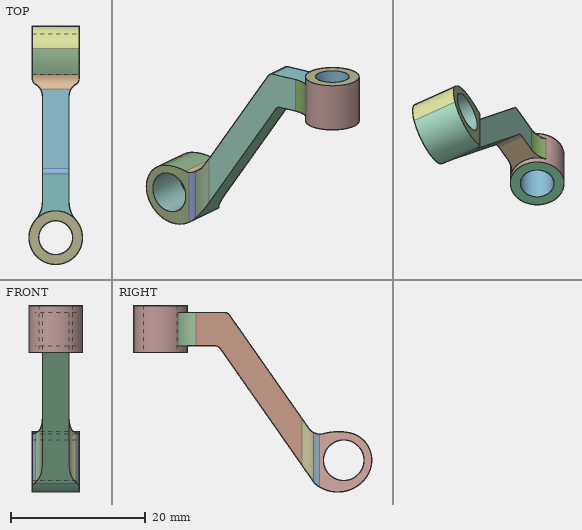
import cadquery as cq
import math

sleeve_diameter = 8.0
sleeve_bore = 5.0
sleeve_height = 7.0

arm_width = 4.0
level_thickness = 5.0
slope_thickness = 4.0
slope_angle = math.radians(55)
top_bend_y = 10.0
bend_radius = 1.0
sleeve_flare_radius = 4.0

eye_bore = 6.0
eye_width = 7.0
eye_y = 27.26
eye_z = -19.5
eye_end_radius = 4.2
eye_bottom_radius = 5.2
eye_top_radius = 8.0
bottom_join_angle = math.radians(-27)
top_join_angle = math.radians(78)
eye_crotch_radius = 2.0

eye_flare_start_y = 21.07
flare_hollow_radius = 2.0
flare_round_radius = 1.0


def polar(center, radius, angle):
    """Point at the given radius and angle around a center."""
    return (center[0] + radius * math.cos(angle), center[1] + radius * math.sin(angle))


def arc_through(sketch, center, radius, start_angle, end_angle):
    """Add an arc about center from the current point, at start_angle, to end_angle."""
    middle_angle = (start_angle + end_angle) / 2
    return sketch.threePointArc(polar(center, radius, middle_angle), polar(center, radius, end_angle))


def make_side_profile():
    """Arm and eye outline in the YZ plane, extruded to the width of the eye."""
    half_level = level_thickness / 2
    along = (math.cos(slope_angle), -math.sin(slope_angle))
    normal = (math.sin(slope_angle), math.cos(slope_angle))
    normal_angle = math.pi / 2 - slope_angle
    top_bend = (top_bend_y, half_level)
    bottom_bend_y = top_bend_y + level_thickness / math.tan(slope_angle) - slope_thickness / normal[0]
    bottom_bend = (bottom_bend_y, -half_level)

    eye_center = (eye_y, eye_z)
    top_center = polar(eye_center, eye_end_radius - eye_top_radius, top_join_angle)
    bottom_center = polar(eye_center, eye_end_radius - eye_bottom_radius, bottom_join_angle)

    offset = (top_center[0] - top_bend[0], top_center[1] - top_bend[1])
    distance_along = offset[0] * along[0] + offset[1] * along[1]
    distance_up = offset[0] * normal[0] + offset[1] * normal[1]
    reach_up = eye_crotch_radius - distance_up
    reach_along = math.sqrt((eye_top_radius + eye_crotch_radius) ** 2 - reach_up**2)
    crotch_along = distance_along - reach_along
    crotch_center = (
        top_bend[0] + crotch_along * along[0] + eye_crotch_radius * normal[0],
        top_bend[1] + crotch_along * along[1] + eye_crotch_radius * normal[1],
    )
    crotch_start_angle = normal_angle - math.pi
    top_start_angle = math.atan2(crotch_center[1] - top_center[1], crotch_center[0] - top_center[0])
    crotch_end_angle = top_start_angle - math.pi

    offset = (bottom_center[0] - bottom_bend[0], bottom_center[1] - bottom_bend[1])
    distance_up = offset[0] * normal[0] + offset[1] * normal[1]
    bottom_end_angle = normal_angle - math.pi + math.acos(distance_up / eye_bottom_radius)

    outline = cq.Workplane("YZ").moveTo(0, half_level).lineTo(*top_bend)
    outline = outline.lineTo(*polar(crotch_center, eye_crotch_radius, crotch_start_angle))
    outline = arc_through(outline, crotch_center, eye_crotch_radius, crotch_start_angle, crotch_end_angle)
    outline = arc_through(outline, top_center, eye_top_radius, top_start_angle, top_join_angle)
    outline = arc_through(outline, eye_center, eye_end_radius, top_join_angle, bottom_join_angle)
    outline = arc_through(outline, bottom_center, eye_bottom_radius, bottom_join_angle, bottom_end_angle)
    outline = outline.lineTo(*bottom_bend).lineTo(0, -half_level).close()
    body = outline.extrude(eye_width / 2, both=True)

    for bend in (top_bend, bottom_bend):
        bend_edge = cq.selectors.NearestToPointSelector((0, *bend))
        body = body.edges("|X").edges(bend_edge).fillet(bend_radius)
    return body


def make_plan_profile():
    """Arm and eye outline from above, extruded through the full height of the part."""
    half_arm = arm_width / 2
    half_eye = eye_width / 2
    eye_end_y = eye_y + eye_end_radius

    sleeve_radius = sleeve_diameter / 2
    hollow_x = half_arm + sleeve_flare_radius
    hollow_y = math.sqrt((sleeve_radius + sleeve_flare_radius) ** 2 - hollow_x**2)
    hollow_center = (hollow_x, hollow_y)
    sleeve_touch_angle = math.atan2(hollow_y, hollow_x)

    flare_radii = flare_hollow_radius + flare_round_radius
    flare_turn = math.acos(1 - (half_eye - half_arm) / flare_radii)
    flare_hollow_center = (half_arm + flare_hollow_radius, eye_flare_start_y)
    flare_end_y = eye_flare_start_y + flare_radii * math.sin(flare_turn)
    flare_round_center = (half_eye - flare_round_radius, flare_end_y)

    outline = cq.Workplane("XY").lineTo(*polar((0, 0), sleeve_radius, sleeve_touch_angle))
    outline = arc_through(
        outline, hollow_center, sleeve_flare_radius, sleeve_touch_angle + math.pi, math.pi
    )
    outline = outline.lineTo(half_arm, eye_flare_start_y)
    outline = arc_through(
        outline, flare_hollow_center, flare_hollow_radius, math.pi, math.pi - flare_turn
    )
    outline = arc_through(outline, flare_round_center, flare_round_radius, -flare_turn, 0)
    outline = outline.lineTo(half_eye, eye_end_y).lineTo(0, eye_end_y)
    depth = abs(eye_z) + eye_top_radius
    return outline.mirrorY().extrude(depth, both=True)


def make_bores():
    """Sleeve bore along Z and eye bore along X."""
    sleeve_hole = cq.Workplane("XY").cylinder(sleeve_height, sleeve_bore / 2)
    eye_hole = cq.Workplane("YZ").center(eye_y, eye_z).cylinder(eye_width, eye_bore / 2)
    return sleeve_hole.union(eye_hole)


sleeve = cq.Workplane("XY").cylinder(sleeve_height, sleeve_diameter / 2)
arm_and_eye = make_side_profile().intersect(make_plan_profile())
result = arm_and_eye.union(sleeve).cut(make_bores())